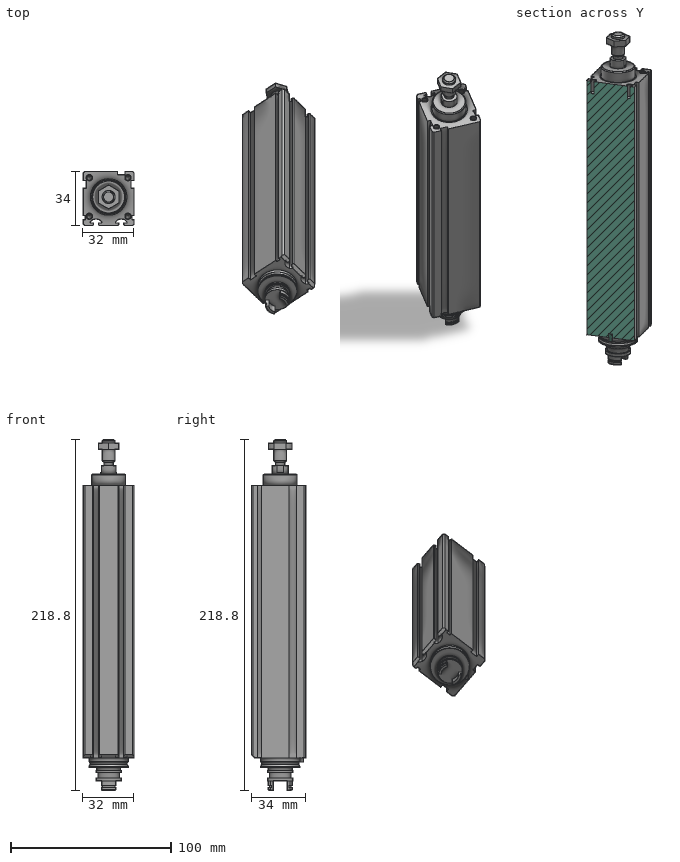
import cadquery as cq
import math


TOTAL_HEIGHT = 218.8
HOUSING_BOTTOM = 20.3
HOUSING_TOP = 190.4
BUSH_TOP = 197.4
ROD_SHOULDER = 202.5
STUD_BOTTOM = 204.5
NUT_BOTTOM = 212.7
NUT_THICKNESS = 4.0
CAP_BOTTOM = 14.2
BAND_BOTTOM = 6.0

HOUSING_WIDTH = 32.0
HALF_WIDTH = HOUSING_WIDTH / 2
SLOTTED_WALL_EXTRA = 2.0
FRONT_Y = -HALF_WIDTH - SLOTTED_WALL_EXTRA
CORNER_CHAMFER = 1.0
FOOT_CHAMFER = 2.0
SENSOR_SLOT_OFFSET = 7.9
SENSOR_SLOT_WIDTH = 4.5
SENSOR_SLOT_DEPTH = 2.0
SIDE_SLOT_Y = -13.0
SIDE_SLOT_WIDTH = 2.5
SIDE_SLOT_DEPTH = 1.3

TSLOT_OFFSET = 7.9
TSLOT_MOUTH_HALF = 1.5
TSLOT_MOUTH_CHAMFER = 0.7
TSLOT_LIP = 1.8
TSLOT_INNER_HALF = 3.5
TSLOT_WALL_DEPTH = 2.5
TSLOT_SHOULDER_HALF = 2.2
TSLOT_SHOULDER_DEPTH = 3.7
TSLOT_ROOF_HALF = 0.33
TSLOT_DEPTH = 4.2

CORNER_HOLE_OFFSET = 12.0
CORNER_HOLE_DIAMETER = 3.3
CORNER_HOLE_MOUTH = 4.0
CORNER_HOLE_DEPTH = 8.0
DRILL_POINT_ANGLE = 118.0

BUSH_DIAMETER = 21.2
BUSH_FLANGE_DIAMETER = 22.8
BUSH_FLANGE_THICKNESS = 3.3
BUSH_CHAMFER = 0.7
BUSH_SEAT = HOUSING_TOP - BUSH_FLANGE_THICKNESS

ROD_DIAMETER = 10.0
ROD_FLATS_WIDTH = 9.2
ROD_FLATS_BOTTOM = 198.2
RELIEF_DIAMETER = 6.0
STUD_DIAMETER = 8.0
STUD_TIP_CHAMFER = 0.9
NUT_ACROSS_FLATS = 13.0

CAP_DIAMETER = 24.5
CAP_GROOVE_DIAMETER = 23.2
CAP_RIM = 0.9
CAP_GROOVE_TAPER = 1.0
CAP_GROOVE_FLOOR = 0.9

PIN_DIAMETER = 2.5
PIN_PROJECTION = 2.6
PIN_Y = (CAP_DIAMETER + PIN_DIAMETER) / 2

CONNECTOR_DIAMETER = 15.0
BAND_DIAMETER = 15.8
CONNECTOR_GROOVE_DIAMETER = 13.5
UPPER_BAND_TOP = 12.5
UPPER_BAND_BOTTOM = 11.2
LOWER_BAND_TOP = 7.9
PRONG_INNER_DIAMETER = 10.7
PRONG_HALF_ANGLE = 36.0
PRONG_GROOVE_BOTTOM = 2.0
PRONG_GROOVE_TOP = 3.0
PRONG_CHAMFER = 0.7


def cylinder(diameter, bottom, top):
    """Upright cylinder on the Z axis."""
    return cq.Workplane("XY").workplane(offset=bottom).circle(diameter / 2).extrude(top - bottom)


def revolve_profile(points):
    """Turn a closed (radius, z) outline about the Z axis."""
    return cq.Workplane("XZ").polyline(points).close().revolve(360, (0, 0), (0, 1))


def housing_prism(sketch):
    """Extrude a sketch over the full housing height."""
    return sketch.extrude(HOUSING_TOP - HOUSING_BOTTOM)


def housing_plane():
    """Workplane at the underside of the housing."""
    return cq.Workplane("XY").workplane(offset=HOUSING_BOTTOM)


def rectangular_slot(x, y, size_x, size_y):
    """Full-height cutter centred on a face, so that half of it lies outside the housing."""
    return housing_prism(housing_plane().center(x, y).rect(size_x, size_y))


def t_slot(x):
    """T-slot with a tapered roof, open to the -Y face."""
    right_side = [
        (TSLOT_MOUTH_HALF + TSLOT_MOUTH_CHAMFER, 0),
        (TSLOT_MOUTH_HALF, TSLOT_MOUTH_CHAMFER),
        (TSLOT_MOUTH_HALF, TSLOT_LIP),
        (TSLOT_INNER_HALF, TSLOT_LIP),
        (TSLOT_INNER_HALF, TSLOT_WALL_DEPTH),
        (TSLOT_SHOULDER_HALF, TSLOT_SHOULDER_DEPTH),
        (TSLOT_ROOF_HALF, TSLOT_DEPTH),
    ]
    left_side = [(-half, depth) for half, depth in reversed(right_side)]
    return housing_prism(housing_plane().center(x, FRONT_Y).polyline(right_side + left_side).close())


def corner_hole(x, y):
    """Blind tapped hole with a countersunk mouth and a drill point."""
    radius = CORNER_HOLE_DIAMETER / 2
    mouth = CORNER_HOLE_MOUTH / 2
    point = radius / math.tan(math.radians(DRILL_POINT_ANGLE / 2))
    hole = revolve_profile([
        (0, HOUSING_TOP),
        (mouth, HOUSING_TOP),
        (radius, HOUSING_TOP - (mouth - radius)),
        (radius, HOUSING_TOP - CORNER_HOLE_DEPTH),
        (0, HOUSING_TOP - CORNER_HOLE_DEPTH - point),
    ])
    return hole.translate((x, y, 0))


def make_pin():
    """Locating pin, half sunk in the housing underside."""
    pin = cylinder(PIN_DIAMETER, HOUSING_BOTTOM - PIN_PROJECTION, HOUSING_BOTTOM + PIN_PROJECTION)
    return pin.translate((0, PIN_Y, 0))


def make_housing():
    depth_y = HALF_WIDTH - FRONT_Y
    body = housing_prism(housing_plane().center(0, FRONT_Y + depth_y / 2).rect(HOUSING_WIDTH, depth_y))
    body = body.edges("|Z").chamfer(CORNER_CHAMFER)
    body = body.faces("<Y").edges("<Z").chamfer(FOOT_CHAMFER)

    sensor_opening = 2 * SENSOR_SLOT_DEPTH
    side_opening = 2 * SIDE_SLOT_DEPTH
    body = body.cut(rectangular_slot(SENSOR_SLOT_OFFSET, HALF_WIDTH, SENSOR_SLOT_WIDTH, sensor_opening))
    for side in (-1, 1):
        face_x = side * HALF_WIDTH
        body = body.cut(rectangular_slot(face_x, SENSOR_SLOT_OFFSET, sensor_opening, SENSOR_SLOT_WIDTH))
        body = body.cut(rectangular_slot(face_x, SIDE_SLOT_Y, side_opening, SIDE_SLOT_WIDTH))
        body = body.cut(t_slot(side * TSLOT_OFFSET))
        for end in (-1, 1):
            body = body.cut(corner_hole(side * CORNER_HOLE_OFFSET, end * CORNER_HOLE_OFFSET))

    body = body.cut(cylinder(BUSH_FLANGE_DIAMETER, BUSH_SEAT, HOUSING_TOP))
    return body.cut(make_pin())


def make_bush():
    """Guide bush whose flange sits flush in the housing top."""
    boss = cylinder(BUSH_DIAMETER, BUSH_SEAT, BUSH_TOP).faces(">Z").chamfer(BUSH_CHAMFER)
    flange = cylinder(BUSH_FLANGE_DIAMETER, BUSH_SEAT, HOUSING_TOP)
    return boss.union(flange).cut(cylinder(ROD_DIAMETER, BUSH_SEAT, BUSH_TOP))


def make_rod():
    """Rod with two wrench flats, a thread relief and a plain cylindrical end for the nut."""
    shank = cylinder(ROD_DIAMETER, BUSH_SEAT, ROD_SHOULDER)
    flats_height = ROD_SHOULDER - ROD_FLATS_BOTTOM
    flats_blank = cylinder(ROD_DIAMETER, ROD_FLATS_BOTTOM, ROD_SHOULDER)
    flats_core = (
        cq.Workplane("XY")
        .workplane(offset=ROD_FLATS_BOTTOM)
        .rect(ROD_FLATS_WIDTH, ROD_DIAMETER)
        .extrude(flats_height)
    )
    shank = shank.cut(flats_blank.cut(flats_core))
    relief = cylinder(RELIEF_DIAMETER, ROD_SHOULDER, STUD_BOTTOM)
    stud = cylinder(STUD_DIAMETER, STUD_BOTTOM, TOTAL_HEIGHT)
    stud = stud.faces(">Z").chamfer(STUD_TIP_CHAMFER)
    stud = stud.faces("<Z").chamfer((STUD_DIAMETER - RELIEF_DIAMETER) / 2)
    return shank.union(relief).union(stud)


def make_nut():
    """Hexagon nut with flats facing +X and -X."""
    across_corners = NUT_ACROSS_FLATS / math.cos(math.radians(30))
    return (
        cq.Workplane("XY")
        .workplane(offset=NUT_BOTTOM)
        .transformed(rotate=(0, 0, 30))
        .polygon(6, across_corners)
        .circle(STUD_DIAMETER / 2)
        .extrude(NUT_THICKNESS)
    )


def make_rear_cap():
    """Disc with a tapered groove around its rim."""
    outer = CAP_DIAMETER / 2
    inner = CAP_GROOVE_DIAMETER / 2
    rim_top = CAP_BOTTOM + CAP_RIM
    floor_bottom = rim_top + CAP_GROOVE_TAPER
    floor_top = floor_bottom + CAP_GROOVE_FLOOR
    return revolve_profile([
        (0, CAP_BOTTOM),
        (outer, CAP_BOTTOM),
        (outer, rim_top),
        (inner, floor_bottom),
        (inner, floor_top),
        (outer, floor_top + CAP_GROOVE_TAPER),
        (outer, HOUSING_BOTTOM),
        (0, HOUSING_BOTTOM),
    ])


def make_connector():
    """Banded round connector ending in two prongs on the +Y and -Y sides."""
    connector = cylinder(CONNECTOR_DIAMETER, UPPER_BAND_TOP, CAP_BOTTOM)
    connector = connector.union(cylinder(BAND_DIAMETER, UPPER_BAND_BOTTOM, UPPER_BAND_TOP))
    connector = connector.union(cylinder(CONNECTOR_GROOVE_DIAMETER, LOWER_BAND_TOP, UPPER_BAND_BOTTOM))
    connector = connector.union(cylinder(BAND_DIAMETER, BAND_BOTTOM, LOWER_BAND_TOP))

    outer = CONNECTOR_DIAMETER / 2
    groove = CONNECTOR_GROOVE_DIAMETER / 2
    inner = PRONG_INNER_DIAMETER / 2
    sleeve = revolve_profile([
        (inner, 0),
        (outer - PRONG_CHAMFER, 0),
        (outer, PRONG_CHAMFER),
        (outer, PRONG_GROOVE_BOTTOM),
        (groove, PRONG_GROOVE_BOTTOM),
        (groove, PRONG_GROOVE_TOP),
        (outer, PRONG_GROOVE_TOP),
        (outer, BAND_BOTTOM),
        (inner, BAND_BOTTOM),
    ])
    wedge_reach = CONNECTOR_DIAMETER
    wedge_half = wedge_reach * math.tan(math.radians(PRONG_HALF_ANGLE))
    for side in (-1, 1):
        wedge = (
            cq.Workplane("XY")
            .polyline([(0, 0), (wedge_half, side * wedge_reach), (-wedge_half, side * wedge_reach)])
            .close()
            .extrude(BAND_BOTTOM)
        )
        connector = connector.union(sleeve.intersect(wedge))
    return connector


housing = make_housing()
bush = make_bush()
rod = make_rod()
nut = make_nut()
rear_cap = make_rear_cap()
pin = make_pin()
connector = make_connector()

result = cq.Compound.makeCompound([
    housing.val(),
    bush.val(),
    rod.val(),
    nut.val(),
    rear_cap.val(),
    pin.val(),
    connector.val(),
])